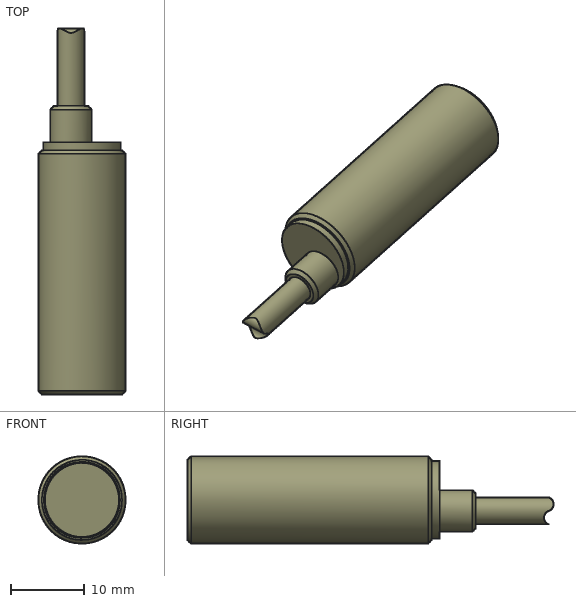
import cadquery as cq

total_length = 50.1

housing_diameter = 12.0
housing_length = 33.45
housing_chamfer = 0.5
bore_diameter = 10.4

core_chamfer = 0.15
flange_diameter = 10.7
flange_end = 34.55
sleeve_diameter = 5.7
sleeve_end = 39.5
sleeve_chamfer = 0.5

cable_diameter = 3.7
cable_offset = -1.5
break_depth = 0.65


def cylinder(diameter, start, end, offset=0):
    """Solid cylinder along Y between two positions, its axis shifted equally in X and Z."""
    plane = cq.Plane(origin=(offset, start, offset), xDir=(1, 0, 0), normal=(0, 1, 0))
    return cq.Workplane(plane).circle(diameter / 2).extrude(end - start)


def make_housing():
    """Tube with both outer rims chamfered."""
    body = cylinder(housing_diameter, 0, housing_length).edges().chamfer(housing_chamfer)
    return body.cut(cylinder(bore_diameter, 0, housing_length))


def make_insert():
    """Core through the housing, with a flange behind it and a sleeve for the cable."""
    core = cylinder(bore_diameter, 0, flange_end).faces("<Y").chamfer(core_chamfer)
    flange = cylinder(flange_diameter, housing_length, flange_end)
    sleeve = cylinder(sleeve_diameter, flange_end, sleeve_end, cable_offset)
    sleeve = sleeve.faces(">Y").chamfer(sleeve_chamfer)
    return core.union(flange).union(sleeve)


def make_cable():
    """Cable leaving the sleeve, its end broken off along an S-shaped curve extruded along X."""
    radius = cable_diameter / 2
    break_middle = total_length - break_depth
    profile = (
        cq.Workplane("YZ", origin=(cable_offset, 0, cable_offset))
        .moveTo(sleeve_end, radius)
        .lineTo(break_middle, radius)
        .threePointArc((total_length, radius / 2), (break_middle, 0))
        .threePointArc((break_middle - break_depth, -radius / 2), (break_middle, -radius))
        .lineTo(sleeve_end, -radius)
        .close()
        .extrude(radius, both=True)
    )
    return cylinder(cable_diameter, sleeve_end, total_length, cable_offset).intersect(profile)


housing = make_housing()
insert = make_insert()
cable = make_cable()
result = cq.Compound.makeCompound([housing.val(), insert.val(), cable.val()])